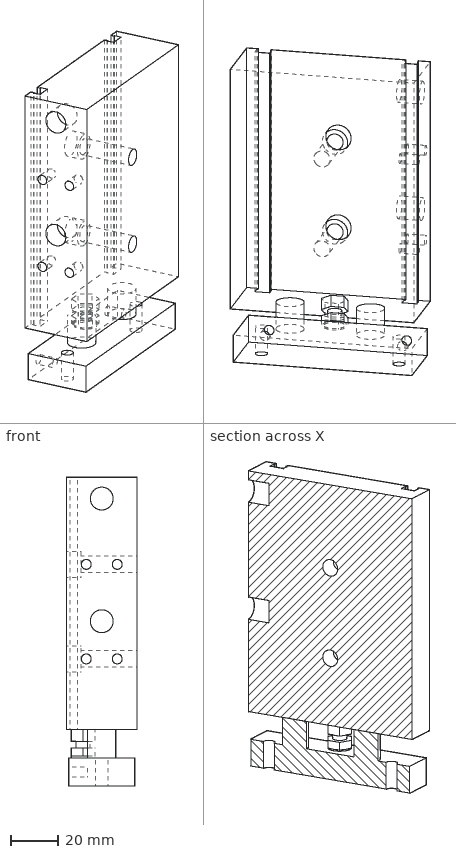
import cadquery as cq

TOTAL_HEIGHT = 131.0
HOUSING_X = 30.0
HOUSING_Y = 80.0
PLATE_X = 28.0
PLATE_Y = 78.0
PLATE_HEIGHT = 12.0
HOUSING_HEIGHT = 107.0
HOUSING_BOTTOM = TOTAL_HEIGHT - HOUSING_HEIGHT
GAP = HOUSING_BOTTOM - PLATE_HEIGHT

SLOT_OFFSET_Y = 32.1
SLOT_MOUTH_WIDTH = 5.5
SLOT_INNER_WIDTH = 6.4
SLOT_LIP = 1.5
SLOT_DEPTH = 4.7

MOUNT_DEPTHS = (37.0, 77.0)
MOUNT_DIAMETER = 7.1
COUNTERBORE_DIAMETER = 11.0
COUNTERBORE_DEPTH = 6.3

PORT_DEPTHS = (9.0, 61.0)
PORT_DIAMETER = 9.7
PORT_LENGTH = 10.0
TAPPED_DIAMETER = 4.2
TAPPED_OFFSET_X = 6.5
TAPPED_LENGTH = 8.0

ROD_DIAMETER = 12.0
ROD_OFFSET_Y = 17.5
PLATE_HOLE_OFFSET_Y = 30.0
PLATE_SIDE_HOLE_LENGTH = 8.0
PLATE_VERTICAL_HOLE_DIAMETER = 5.1

BOLT_X = -8.0
HEX_ACROSS_FLATS = 10.1
WASHER_FACE_HEIGHT = 0.7
HEAD_HEIGHT = 3.5
NUT_HEIGHT = 5.0
SHANK_DIAMETER = 6.0


def box_on(width_x, width_y, height, bottom):
    """Box centred in x and y, standing on z = bottom."""
    return cq.Workplane("XY").workplane(offset=bottom).rect(width_x, width_y).extrude(height)


def cylinder(diameter, length, start, direction):
    return cq.Solid.makeCylinder(diameter / 2, length, cq.Vector(*start), cq.Vector(*direction))


def t_slot(y):
    """Cutter for one T-slot: a narrow mouth and a wider channel behind the lips."""
    face_x = -HOUSING_X / 2
    mouth = box_on(SLOT_LIP, SLOT_MOUTH_WIDTH, HOUSING_HEIGHT, HOUSING_BOTTOM)
    channel_depth = SLOT_DEPTH - SLOT_LIP
    channel = box_on(channel_depth, SLOT_INNER_WIDTH, HOUSING_HEIGHT, HOUSING_BOTTOM)
    mouth = mouth.translate((face_x + SLOT_LIP / 2, y, 0))
    channel = channel.translate((face_x + SLOT_LIP + channel_depth / 2, y, 0))
    return mouth.union(channel)


def make_housing():
    body = box_on(HOUSING_X, HOUSING_Y, HOUSING_HEIGHT, HOUSING_BOTTOM)
    left = -HOUSING_X / 2
    front = -HOUSING_Y / 2

    for y in (-SLOT_OFFSET_Y, SLOT_OFFSET_Y):
        body = body.cut(t_slot(y))

    for depth in MOUNT_DEPTHS:
        z = TOTAL_HEIGHT - depth
        body = body.cut(cylinder(MOUNT_DIAMETER, HOUSING_X, (left, 0, z), (1, 0, 0)))
        body = body.cut(cylinder(COUNTERBORE_DIAMETER, COUNTERBORE_DEPTH, (left, 0, z), (1, 0, 0)))
        for x in (-TAPPED_OFFSET_X, TAPPED_OFFSET_X):
            body = body.cut(cylinder(TAPPED_DIAMETER, TAPPED_LENGTH, (x, front, z), (0, 1, 0)))

    for depth in PORT_DEPTHS:
        z = TOTAL_HEIGHT - depth
        body = body.cut(cylinder(PORT_DIAMETER, PORT_LENGTH, (0, front, z), (0, 1, 0)))
    return body


def make_plate_with_rods():
    body = box_on(PLATE_X, PLATE_Y, PLATE_HEIGHT, 0)
    for side in (-1, 1):
        rod_start = (0, side * ROD_OFFSET_Y, PLATE_HEIGHT)
        body = body.union(cq.Workplane(cylinder(ROD_DIAMETER, GAP, rod_start, (0, 0, 1))))

        hole_y = side * PLATE_HOLE_OFFSET_Y
        side_start = (-PLATE_X / 2, hole_y, PLATE_HEIGHT / 2)
        body = body.cut(cylinder(TAPPED_DIAMETER, PLATE_SIDE_HOLE_LENGTH, side_start, (1, 0, 0)))
        vertical_start = (0, hole_y, 0)
        body = body.cut(cylinder(PLATE_VERTICAL_HOLE_DIAMETER, PLATE_HEIGHT, vertical_start, (0, 0, 1)))
    return body


def hexagon(height, bottom):
    """Hexagonal prism on the bolt axis with flats facing -X and +X."""
    prism = cq.Workplane("XY").polygon(6, HEX_ACROSS_FLATS, circumscribed=True).extrude(height)
    return prism.translate((BOLT_X, 0, bottom))


def make_stop_bolt():
    base = (BOLT_X, 0, PLATE_HEIGHT)
    shank = cq.Workplane(cylinder(SHANK_DIAMETER, GAP, base, (0, 0, 1)))
    washer_face = cq.Workplane(cylinder(HEX_ACROSS_FLATS, WASHER_FACE_HEIGHT, base, (0, 0, 1)))
    head = hexagon(HEAD_HEIGHT, PLATE_HEIGHT + WASHER_FACE_HEIGHT)
    nut = hexagon(NUT_HEIGHT, HOUSING_BOTTOM - NUT_HEIGHT)
    return shank.union(washer_face).union(head).union(nut)


housing = make_housing()
plate_with_rods = make_plate_with_rods()
stop_bolt = make_stop_bolt()

result = cq.Compound.makeCompound([housing.val(), plate_with_rods.val(), stop_bolt.val()])